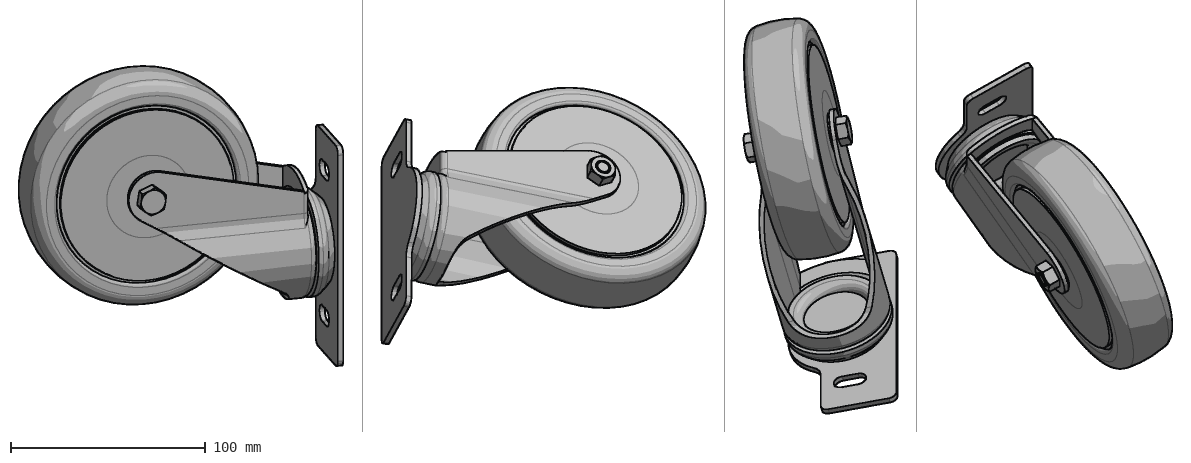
import cadquery as cq
import math


TOTAL_DEPTH = 163.3
WHEEL_RADIUS = 62.0
AXLE_DEPTH = TOTAL_DEPTH - WHEEL_RADIUS
AXLE_HEIGHT = 40.0
SWIVEL_RADIUS = 57.0 / 2

PLATE_LENGTH = 120.0
PLATE_WIDTH = 39.8
PLATE_THICKNESS = 3.0
PLATE_CORNER_RADIUS = 3.9
PLATE_NECK_RADIUS = 8.0
SLOT_LENGTH = 17.0
SLOT_WIDTH = 8.7
SLOT_X = 4.0
SLOT_OFFSET = 39.7

DOME_START_RADIUS = 22.9
DOME_MIDDLE = (24.8, 4.9)
DOME_END_RADIUS = 26.5
DOME_END_DEPTH = 7.2
CUP_MIDDLE = (27.9, 8.8)
CUP_RIM_START = 10.8
CUP_END_DEPTH = 13.0
NECK_RADIUS = 24.3
NECK_END_DEPTH = 13.5

SHEET = 2.5
FORK_BACK = NECK_END_DEPTH
CUP_EDGE_RADIUS = 3.6
BASE_FRONT = FORK_BACK + SHEET
TAB_BACK = 16.0
TAB_FRONT = TAB_BACK + SHEET
TAB_RADIUS = 40.2
BEND_RADIUS = 3.0
ARM_HALF_WIDTH = 21.0
FLARE_RADIUS = 12.5
RECESS_RADIUS = 29.5
ARM_TOP_START = 35.1
ARM_END_RADIUS = 14.0
ARM_END_DEPTH = 98.6
LOWER_EDGE_POINT = (60.5, 0.3)
CUP_WALL_END = 23.7
CUP_CORNER_RADIUS = 14.7
CLEAR = 65.3

DISC_RADIUS = SWIVEL_RADIUS - SHEET
DISC_FRONT = 17.6
BOSS_RADIUS = 24.7
BOSS_FRONT = 20.7
BOSS_HOLE_RADIUS = 17.1
BOSS_LIP_RADIUS = 4.5

TYRE_HALF_WIDTH = 16.0
TREAD_HALF_WIDTH = 10.6
TREAD_EDGE_RADIUS = 61.0
SHOULDER_MIDDLE = (14.5, 58.8)
SIDEWALL_RADIUS = 54.2
GROOVE_OUTER_RADIUS = 48.2
GROOVE_INNER_RADIUS = 46.4
GROOVE_DEPTH = 2.0
GROOVE_LIP = 1.6
HUB_FACE_RADIUS = 22.4
HUB_HALF_WIDTH = 17.5
SPACER_RADIUS = 10.3

BOLT_RADIUS = 3.9
BOLT_CHAMFER = 0.8
HEX_ACROSS_FLATS = 13.0
HEAD_HEIGHT = 5.7
HEAD_TURN = -8.5
NUT_HEIGHT = 6.5
HEX_CHAMFER_ANGLE = 30.0


def extrude_depth(outline, start, end):
    """Extrude an XZ outline between two depths."""
    return outline.extrude(end - start).translate((0, -start, 0))


def xz():
    return cq.Workplane("XZ")


def disc(radius, start, end):
    return extrude_depth(xz().circle(radius), start, end)


def revolve_swivel(profile):
    """Revolve an XY profile about the swivel axis."""
    return profile.close().revolve(360, (0, 0), (0, 1))


def revolve_axle(profile):
    """Revolve an XY profile about the X axis and carry it to the wheel axle."""
    return profile.close().revolve(360, (0, 0), (1, 0)).translate((0, -AXLE_DEPTH, AXLE_HEIGHT))


def axle_cylinder(radius, start, end):
    cylinder = cq.Workplane("YZ").circle(radius).extrude(end - start)
    return cylinder.translate((start, -AXLE_DEPTH, AXLE_HEIGHT))


def plate_sheet():
    right = SWIVEL_RADIUS
    left = right - PLATE_WIDTH
    half = PLATE_LENGTH / 2
    corner = PLATE_CORNER_RADIUS
    neck_x = left - PLATE_NECK_RADIUS
    neck_distance = SWIVEL_RADIUS + PLATE_NECK_RADIUS
    neck_z = math.sqrt(neck_distance**2 - neck_x**2)
    share = SWIVEL_RADIUS / neck_distance
    bulge = (neck_x * share, neck_z * share)
    outline = (
        xz().moveTo(left, neck_z)
        .lineTo(left, half - corner)
        .radiusArc((left + corner, half), corner)
        .lineTo(right - corner, half)
        .radiusArc((right, half - corner), corner)
        .lineTo(right, corner - half)
        .radiusArc((right - corner, -half), corner)
        .lineTo(left + corner, -half)
        .radiusArc((left, corner - half), corner)
        .lineTo(left, -neck_z)
        .radiusArc((bulge[0], -bulge[1]), -PLATE_NECK_RADIUS)
        .threePointArc((-SWIVEL_RADIUS, 0), bulge)
        .radiusArc((left, neck_z), -PLATE_NECK_RADIUS)
        .close()
    )
    sheet = extrude_depth(outline, 0, PLATE_THICKNESS)
    slots = (
        xz().pushPoints([(SLOT_X, -SLOT_OFFSET), (SLOT_X, SLOT_OFFSET)])
        .slot2D(SLOT_LENGTH, SLOT_WIDTH)
        .extrude(PLATE_THICKNESS)
    )
    return sheet.cut(slots)


def bearing_ring():
    profile = (
        cq.Workplane("XY").moveTo(0, -PLATE_THICKNESS)
        .lineTo(DOME_START_RADIUS, -PLATE_THICKNESS)
        .threePointArc((DOME_MIDDLE[0], -DOME_MIDDLE[1]), (DOME_END_RADIUS, -DOME_END_DEPTH))
        .threePointArc((CUP_MIDDLE[0], -CUP_MIDDLE[1]), (SWIVEL_RADIUS, -CUP_RIM_START))
        .lineTo(SWIVEL_RADIUS, -CUP_END_DEPTH)
        .lineTo(NECK_RADIUS, -CUP_END_DEPTH)
        .lineTo(NECK_RADIUS, -NECK_END_DEPTH)
        .lineTo(0, -NECK_END_DEPTH)
    )
    return revolve_swivel(profile)


def make_plate():
    return plate_sheet().union(bearing_ring())


def fork_section(inset):
    """U outline: round below, flaring into two upright arms; inset moves it inward."""
    radius = SWIVEL_RADIUS - inset
    half = ARM_HALF_WIDTH - inset
    flare = FLARE_RADIUS + inset
    flare_x = half + flare
    flare_z = math.sqrt((radius + flare) ** 2 - flare_x**2)
    share = radius / (radius + flare)
    tangent = (flare_x * share, flare_z * share)
    return (
        xz().moveTo(-half, CLEAR)
        .lineTo(half, CLEAR)
        .lineTo(half, flare_z)
        .radiusArc(tangent, -flare)
        .threePointArc((0, -radius), (-tangent[0], tangent[1]))
        .radiusArc((-half, flare_z), -flare)
        .close()
    )


def tangent_point(point, center, radius, side):
    """Where the line from point touches the circle; side +1 is above it, -1 below."""
    dx = point[0] - center[0]
    dz = point[1] - center[1]
    angle = math.atan2(dz, dx) - side * math.acos(radius / math.hypot(dx, dz))
    return (center[0] + radius * math.cos(angle), center[1] + radius * math.sin(angle))


def fork_side():
    """Side outline of the fork, in depth and height, run through its whole width."""
    center = (ARM_END_DEPTH, AXLE_HEIGHT)
    tip = (ARM_END_DEPTH + ARM_END_RADIUS, AXLE_HEIGHT)
    top_start = (TAB_FRONT, ARM_TOP_START)
    top_end = tangent_point(top_start, center, ARM_END_RADIUS, 1)
    low_end = tangent_point(LOWER_EDGE_POINT, center, ARM_END_RADIUS, -1)
    slope = (low_end[1] - LOWER_EDGE_POINT[1]) / (low_end[0] - LOWER_EDGE_POINT[0])
    corner_z = LOWER_EDGE_POINT[1] + slope * (CUP_WALL_END - LOWER_EDGE_POINT[0])
    plane = cq.Plane(origin=(-CLEAR, 0, 0), xDir=(0, -1, 0), normal=(-1, 0, 0))
    side = (
        cq.Workplane(plane).moveTo(0, -CLEAR)
        .lineTo(0, CLEAR)
        .lineTo(TAB_FRONT, CLEAR)
        .lineTo(*top_start)
        .lineTo(*top_end)
        .threePointArc(tip, low_end)
        .lineTo(CUP_WALL_END, corner_z)
        .lineTo(CUP_WALL_END, -CLEAR)
        .close()
        .extrude(-2 * CLEAR)
    )
    corner = cq.selectors.NearestToPointSelector((0, -CUP_WALL_END, corner_z))
    return side.edges("|X").edges(corner).fillet(CUP_CORNER_RADIUS)


def fork_cup_back():
    """Round back of the cup, standing out behind the tab."""
    bend_end = TAB_BACK + BEND_RADIUS
    return disc(SWIVEL_RADIUS, FORK_BACK, bend_end).faces(">Y").edges().fillet(CUP_EDGE_RADIUS)


def fork_recess():
    """Conical recess in the tab, held inside the inner face of the cup and arms."""
    base_radius = RECESS_RADIUS - (TAB_FRONT - BASE_FRONT)
    profile = (
        cq.Workplane("XY").moveTo(0, -BASE_FRONT)
        .lineTo(base_radius, -BASE_FRONT)
        .lineTo(RECESS_RADIUS, -TAB_FRONT)
        .lineTo(0, -TAB_FRONT)
    )
    return revolve_swivel(profile).intersect(extrude_depth(fork_section(SHEET), BASE_FRONT, TAB_FRONT))


def bearing_boss():
    boss = disc(DISC_RADIUS, BASE_FRONT, DISC_FRONT).union(disc(BOSS_RADIUS, DISC_FRONT, BOSS_FRONT))
    boss = boss.cut(disc(BOSS_HOLE_RADIUS, BASE_FRONT, BOSS_FRONT))
    lip = cq.selectors.RadiusNthSelector(0)
    return boss.faces("<Y").edges(lip).fillet(BOSS_LIP_RADIUS)


def make_fork():
    fork = extrude_depth(fork_section(0), TAB_BACK, TOTAL_DEPTH)
    fork = fork.faces(">Y").edges("not(>Z)").fillet(BEND_RADIUS)
    fork = fork.union(fork_cup_back())
    fork = fork.cut(extrude_depth(fork_section(SHEET), TAB_FRONT, TOTAL_DEPTH))
    fork = fork.cut(fork_recess()).intersect(fork_side())
    tab_surround = disc(2 * CLEAR, TAB_BACK, TAB_FRONT).cut(disc(TAB_RADIUS, TAB_BACK, TAB_FRONT))
    fork = fork.cut(tab_surround).union(bearing_boss())
    return fork.cut(axle_cylinder(BOLT_RADIUS, -ARM_HALF_WIDTH, ARM_HALF_WIDTH))


def make_wheel():
    groove_floor = TYRE_HALF_WIDTH - GROOVE_DEPTH
    spacer_half = ARM_HALF_WIDTH - SHEET
    right_side = [
        (groove_floor, GROOVE_OUTER_RADIUS),
        (groove_floor, GROOVE_INNER_RADIUS),
        (TYRE_HALF_WIDTH, GROOVE_INNER_RADIUS),
        (HUB_HALF_WIDTH, HUB_FACE_RADIUS),
        (HUB_HALF_WIDTH, SPACER_RADIUS),
        (spacer_half, SPACER_RADIUS),
        (spacer_half, BOLT_RADIUS),
    ]
    left_side = [(-x, radius) for x, radius in reversed(right_side)]
    lip_radius = GROOVE_OUTER_RADIUS + GROOVE_LIP
    lip_x = TYRE_HALF_WIDTH - GROOVE_LIP
    profile = (
        cq.Workplane("XY").moveTo(-TREAD_HALF_WIDTH, TREAD_EDGE_RADIUS)
        .threePointArc((0, WHEEL_RADIUS), (TREAD_HALF_WIDTH, TREAD_EDGE_RADIUS))
        .threePointArc(SHOULDER_MIDDLE, (TYRE_HALF_WIDTH, SIDEWALL_RADIUS))
        .lineTo(TYRE_HALF_WIDTH, lip_radius)
        .radiusArc((lip_x, GROOVE_OUTER_RADIUS), GROOVE_LIP)
    )
    for point in right_side + left_side:
        profile = profile.lineTo(*point)
    profile = (
        profile.lineTo(-lip_x, GROOVE_OUTER_RADIUS)
        .radiusArc((-TYRE_HALF_WIDTH, lip_radius), GROOVE_LIP)
        .lineTo(-TYRE_HALF_WIDTH, SIDEWALL_RADIUS)
        .threePointArc((-SHOULDER_MIDDLE[0], SHOULDER_MIDDLE[1]), (-TREAD_HALF_WIDTH, TREAD_EDGE_RADIUS))
    )
    return revolve_axle(profile)


def hexagon(height):
    """Hexagon along +X from the origin, corners up and down, outer corners chamfered."""
    corner_radius = HEX_ACROSS_FLATS / math.sqrt(3)
    chamfer = (corner_radius - HEX_ACROSS_FLATS / 2) * math.tan(math.radians(HEX_CHAMFER_ANGLE))
    prism = cq.Workplane("YZ").polygon(6, 2 * corner_radius).extrude(height)
    prism = prism.rotate((0, 0, 0), (1, 0, 0), 90)
    limit = (
        cq.Workplane("XY").lineTo(0, corner_radius)
        .lineTo(height - chamfer, corner_radius)
        .lineTo(height, HEX_ACROSS_FLATS / 2)
        .lineTo(height, 0)
        .close()
        .revolve(360, (0, 0), (1, 0))
    )
    return prism.intersect(limit)


def make_bolt():
    shank = axle_cylinder(BOLT_RADIUS, -ARM_HALF_WIDTH - NUT_HEIGHT, ARM_HALF_WIDTH)
    shank = shank.faces("<X").chamfer(BOLT_CHAMFER)
    head = hexagon(HEAD_HEIGHT).rotate((0, 0, 0), (1, 0, 0), HEAD_TURN)
    return shank.union(head.translate((ARM_HALF_WIDTH, -AXLE_DEPTH, AXLE_HEIGHT)))


def make_nut():
    nut = hexagon(NUT_HEIGHT).rotate((0, 0, 0), (0, 0, 1), 180)
    nut = nut.translate((-ARM_HALF_WIDTH, -AXLE_DEPTH, AXLE_HEIGHT))
    return nut.cut(axle_cylinder(BOLT_RADIUS, -ARM_HALF_WIDTH - NUT_HEIGHT, -ARM_HALF_WIDTH))


plate = make_plate()
fork = make_fork()
wheel = make_wheel()
bolt = make_bolt()
nut = make_nut()

result = cq.Compound.makeCompound([plate.val(), fork.val(), wheel.val(), bolt.val(), nut.val()])